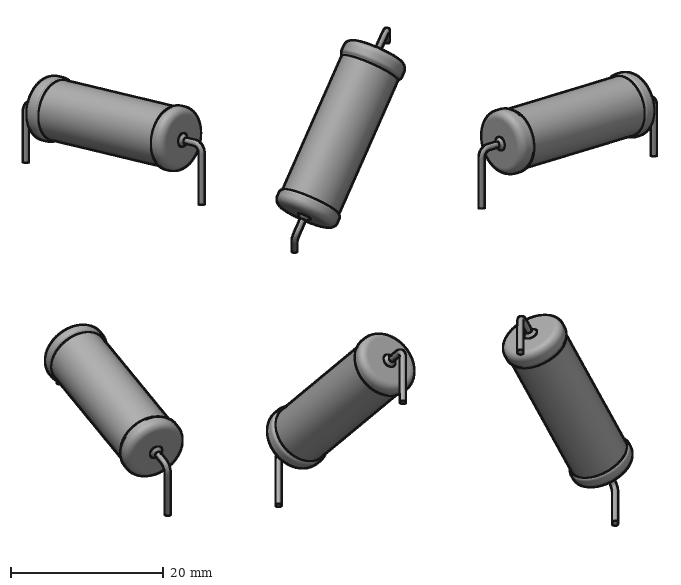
import cadquery as cq
import math

overall_length = 31.33
lead_bottom_z = -8.15

core_radius = 4.07

cap_radius = 4.35
cap_face_x = 11.97
outer_round = 1.0
inner_round = 0.5
left_band_width = 0.75
right_band_width = 0.55
left_blend_radius = 0.38

wire_radius = 0.423
bend_radius = 1.2
collar_length = 0.5

rim_step = cap_radius - core_radius
collar_radius = wire_radius + collar_length
collar_tip_x = cap_face_x + collar_length
lead_x = overall_length / 2 - wire_radius


def inner_run(blend_radius):
    """Axial run of the inner round and its optional tangent blend, down to the core."""
    radius_sum = inner_round + blend_radius
    return math.sqrt(radius_sum**2 - (radius_sum - rim_step) ** 2)


def make_cap(side, band_width, blend_radius):
    """Solid cap with its wire collar; side is -1 or +1 along X."""
    outer_rim_x = cap_face_x - outer_round
    inner_rim_x = outer_rim_x - band_width
    inner_end_x = inner_rim_x - inner_run(blend_radius)
    radius_sum = inner_round + blend_radius
    sweep = math.acos(1 - rim_step / radius_sum)

    def inner_round_point(angle):
        return (
            side * (inner_rim_x - inner_round * math.sin(angle)),
            cap_radius - inner_round * (1 - math.cos(angle)),
        )

    def blend_point(angle):
        return (
            side * (inner_end_x + blend_radius * math.sin(angle)),
            core_radius + blend_radius * (1 - math.cos(angle)),
        )

    outer_round_middle = (
        side * (outer_rim_x + outer_round * math.sin(math.pi / 4)),
        cap_radius - outer_round * (1 - math.cos(math.pi / 4)),
    )
    profile = (
        cq.Workplane("XY")
        .moveTo(side * collar_tip_x, 0)
        .lineTo(side * collar_tip_x, wire_radius)
        .lineTo(side * cap_face_x, collar_radius)
        .lineTo(side * cap_face_x, cap_radius - outer_round)
        .threePointArc(outer_round_middle, (side * outer_rim_x, cap_radius))
        .lineTo(side * inner_rim_x, cap_radius)
        .threePointArc(inner_round_point(sweep / 2), inner_round_point(sweep))
    )
    if blend_radius > 0:
        profile = profile.threePointArc(blend_point(sweep / 2), (side * inner_end_x, core_radius))
    profile = profile.lineTo(side * inner_end_x, 0).close()
    return profile.revolve(360, (0, 0, 0), (1, 0, 0))


def make_core():
    """Plain cylinder filling the space between the caps."""
    rim_x = cap_face_x - outer_round
    left_x = -(rim_x - left_band_width - inner_run(left_blend_radius))
    right_x = rim_x - right_band_width - inner_run(0)
    return cq.Workplane("YZ", origin=(left_x, 0, 0)).circle(core_radius).extrude(right_x - left_x)


def make_lead(side):
    """Round wire leaving the collar along X and bending down to -Z."""
    bend_start_x = lead_x - bend_radius
    bend_middle = (
        side * (bend_start_x + bend_radius * math.sin(math.pi / 4)),
        -bend_radius * (1 - math.cos(math.pi / 4)),
    )
    path = (
        cq.Workplane("XZ")
        .moveTo(side * collar_tip_x, 0)
        .lineTo(side * bend_start_x, 0)
        .threePointArc(bend_middle, (side * lead_x, -bend_radius))
        .lineTo(side * lead_x, lead_bottom_z)
    )
    return cq.Workplane("YZ", origin=(side * collar_tip_x, 0, 0)).circle(wire_radius).sweep(path)


core = make_core()
left_cap = make_cap(-1, left_band_width, left_blend_radius)
right_cap = make_cap(1, right_band_width, 0)
leads = [make_lead(side) for side in (-1, 1)]

result = cq.Compound.makeCompound(
    [core.val(), left_cap.val(), right_cap.val(), *[lead.val() for lead in leads]]
)